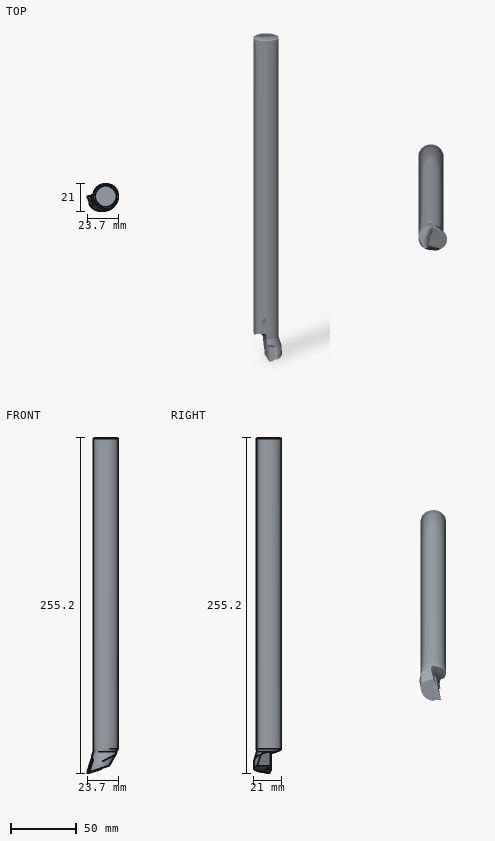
import cadquery as cq
import math

overall_length = 255.2
overall_width = 23.7
overall_depth = 21.0

shank_diameter = 19.1
shank_radius = shank_diameter / 2
shank_bottom = 19.0
top_chamfer_width = 1.5
top_chamfer_height = 0.8

neck_radius = 8.7
neck_x = -0.8
neck_y = -0.5
neck_bottom = 16.5

head_half_depth = overall_depth - shank_radius
shoulder_x = -2.3
shoulder_z = 9.2
shoulder_half_width = 11.5
shoulder_slope = 28.0
head_end_x = -3.8
head_end_half_width = 10.2

flat_top_x = 7.7
flat_top_z = 14.8
flat_lean = 29.0

tip_left = shank_radius - overall_width
tip_angle = 55.0
edge_length = 11.5
insert_thickness = 3.5
relief_angle = 7.0
nose_radius = 0.8
rake_angle = 11.5
edge_lean = (90.0 - tip_angle) / 2
insert_bottom = 0.0

side_clearance = 1.5
end_clearance = 0.8

flute_floor_y = 1.15
flute_wall_x = -8.0
flute_wall_bottom = 20.7
flute_wall_top = 28.5
flute_top = 34.0
flute_corner_radius = 2.17

reach = 25.5

nose_x = tip_left + nose_radius
nose_z = insert_bottom + nose_radius
nose_to_corner = nose_radius / math.sin(math.radians(tip_angle / 2))
corner_x = nose_x - nose_to_corner * math.cos(math.radians(45))
corner_z = nose_z - nose_to_corner * math.sin(math.radians(45))
lean_sin = math.sin(math.radians(edge_lean))
lean_cos = math.cos(math.radians(edge_lean))
lean_tan = math.tan(math.radians(edge_lean))


def end_plane_z(x):
    """Height of the sloping end of the head, just above the lower cutting edge."""
    return corner_z + end_clearance + (x - corner_x) * lean_tan


def oval_section(x, z, half_width, slope):
    """Oval wire in a plane that contains Y and rises toward +X; half_width is measured along X."""
    slope_cos = math.cos(math.radians(slope))
    slope_sin = math.sin(math.radians(slope))
    plane = cq.Plane(origin=(x, 0, z), xDir=(slope_cos, 0, slope_sin), normal=(-slope_sin, 0, slope_cos))
    return cq.Workplane(plane).ellipse(half_width / slope_cos, head_half_depth).val()


def circle_section(x, y, z, radius):
    return cq.Workplane("XY", origin=(x, y, z)).circle(radius).val()


def make_shank():
    length = overall_length - shank_bottom
    shank = cq.Workplane("XY", origin=(0, 0, shank_bottom)).circle(shank_radius).extrude(length)
    return shank.faces(">Z").chamfer(top_chamfer_height, top_chamfer_width)


def make_head():
    sections = [
        circle_section(0, 0, shank_bottom, shank_radius),
        circle_section(neck_x, neck_y, neck_bottom, neck_radius),
        oval_section(shoulder_x, shoulder_z, shoulder_half_width, shoulder_slope),
        oval_section(head_end_x, end_plane_z(head_end_x), head_end_half_width, edge_lean),
    ]
    return cq.Workplane(cq.Solid.makeLoft(sections, True))


def make_head_flat():
    """Cutter beyond a plane parallel to Y that leans toward -X going down from the shoulder."""
    flat_tan = math.tan(math.radians(flat_lean))
    start_x = flat_top_x + (shank_bottom - flat_top_z) * flat_tan
    end_x = flat_top_x - flat_top_z * flat_tan
    points = [(start_x, shank_bottom), (reach, shank_bottom), (reach, 0), (end_x, 0)]
    return cq.Workplane("XZ").polyline(points).close().extrude(reach, both=True)


def make_flute():
    """Cutter for the step with a flat floor, a side wall with a curved run-out and a sloping lower wall."""
    slope_end_z = flute_wall_bottom - (reach - flute_wall_x) * lean_tan
    run_out_height = flute_top - flute_wall_top
    run_out_depth = flute_wall_x + shank_radius
    run_out_radius = (run_out_height**2 + run_out_depth**2) / (2 * run_out_depth)
    run_out_top = flute_wall_top + run_out_radius
    run_out_end_x = flute_wall_x - run_out_radius
    mid_angle = math.radians(45)
    arc_middle = (
        run_out_end_x + run_out_radius * math.cos(mid_angle),
        flute_wall_top + run_out_radius * math.sin(mid_angle),
    )
    profile = (
        cq.Workplane("XZ", origin=(0, flute_floor_y, 0))
        .moveTo(reach, -reach)
        .lineTo(reach, slope_end_z)
        .lineTo(flute_wall_x, flute_wall_bottom)
        .lineTo(flute_wall_x, flute_wall_top)
        .threePointArc(arc_middle, (run_out_end_x, run_out_top))
        .lineTo(-reach, run_out_top)
        .lineTo(-reach, -reach)
        .close()
    )
    flute = profile.extrude(-reach)
    return flute.faces("<Y").edges().fillet(flute_corner_radius)


def insert_plane():
    """Plane of the cutting face: X along its side edge, Y across the insert, Z out of the face."""
    rake_sin = math.sin(math.radians(rake_angle))
    rake_cos = math.cos(math.radians(rake_angle))
    along = cq.Vector(lean_sin, 0, lean_cos)
    across = cq.Vector(lean_cos * rake_cos, rake_sin, -lean_sin * rake_cos)
    return cq.Plane(origin=(corner_x, 0, corner_z), xDir=along, normal=along.cross(across))


def diamond():
    """Outline of the cutting face, its sharp corner at the origin."""
    lean = edge_length * math.cos(math.radians(tip_angle))
    width = edge_length * math.sin(math.radians(tip_angle))
    points = [(0, 0), (edge_length, 0), (edge_length + lean, width), (lean, width)]
    return cq.Workplane(insert_plane()).polyline(points).close()


def make_insert():
    plate = diamond().extrude(-insert_thickness, taper=relief_angle)
    nose = cq.selectors.NearestToPointSelector((corner_x, -insert_thickness / 2, corner_z))
    return plate.edges(nose).fillet(nose_radius)


def make_side_clearance():
    """Cutter for the flat on the head beside the insert's side edge, closed by a 45 degree ledge."""
    plane = cq.Plane(origin=(corner_x, 0, corner_z), xDir=(lean_cos, 0, -lean_sin), normal=(0, -1, 0))
    return (
        cq.Workplane(plane)
        .moveTo(side_clearance, -reach)
        .lineTo(side_clearance, edge_length)
        .lineTo(-reach, edge_length + side_clearance + reach)
        .lineTo(-reach, -reach)
        .close()
        .extrude(reach, both=True)
    )


def make_holder(insert):
    head = make_head().cut(make_head_flat())
    holder = make_shank().union(head).cut(make_flute()).cut(make_side_clearance())
    pocket_opening = diamond().extrude(reach)
    return holder.cut(pocket_opening).cut(insert)


insert = make_insert()
holder = make_holder(insert)

result = cq.Compound.makeCompound([holder.solids().val(), insert.solids().val()])